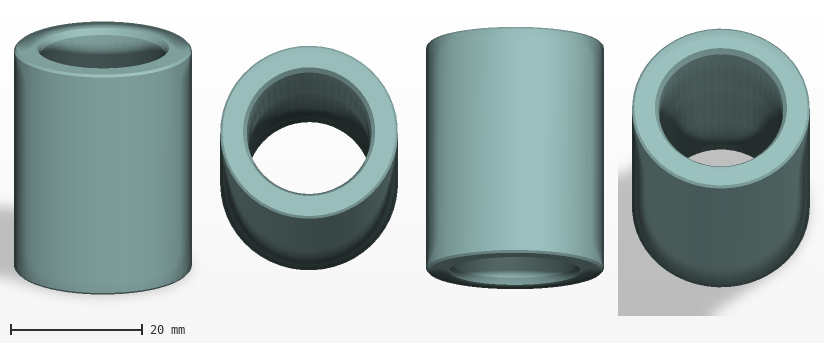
import cadquery as cq
import math

height = 35.1
outer_diameter = 27.0
outer_radius = outer_diameter / 2
outer_chamfer = 0.35

mouth_radius = 10.05
mouth_depth = 1.0
mouth_half_angle = 30.0
bore_end_radius = mouth_radius - mouth_depth * math.tan(math.radians(mouth_half_angle))
waist_radius = 9.05

half_height = height / 2
bore_end_z = half_height - mouth_depth
rim_radius = outer_radius - outer_chamfer
wall_end_z = half_height - outer_chamfer

section = (
    cq.Workplane("XZ")
    .moveTo(mouth_radius, -half_height)
    .lineTo(rim_radius, -half_height)
    .lineTo(outer_radius, -wall_end_z)
    .lineTo(outer_radius, wall_end_z)
    .lineTo(rim_radius, half_height)
    .lineTo(mouth_radius, half_height)
    .lineTo(bore_end_radius, bore_end_z)
    .threePointArc((waist_radius, 0), (bore_end_radius, -bore_end_z))
    .close()
)

result = section.revolve(360, (0, 0, 0), (0, 1, 0))